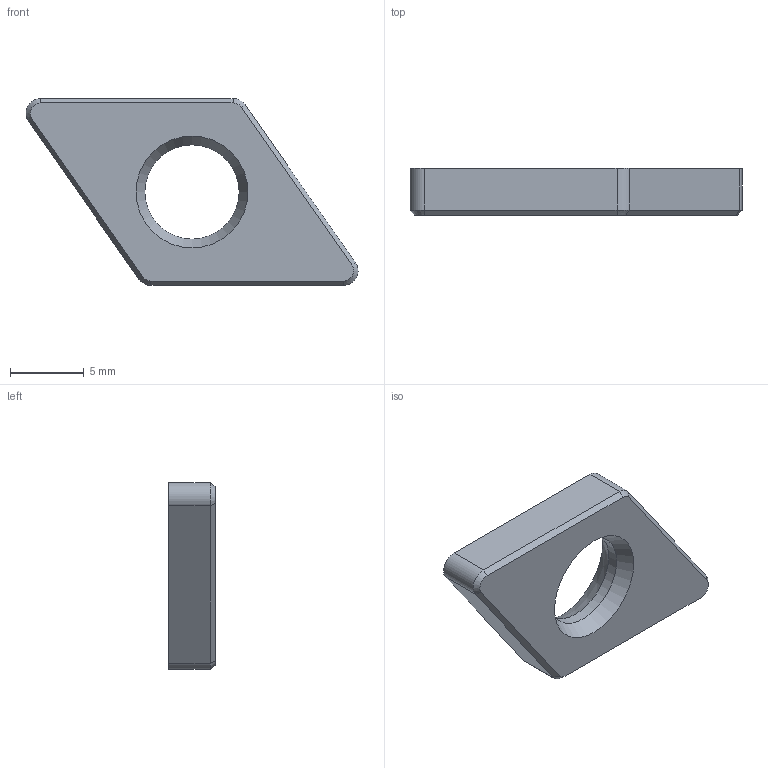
import cadquery as cq
import math

inscribed_diameter = 12.7
acute_angle = math.radians(55)
thickness = 3.18
corner_radius = 1.0

chamfer_inset = 0.3
chamfer_depth = 0.35

hole_diameter = 6.4
front_countersink_diameter = 7.6
back_countersink_diameter = 8.0
countersink_half_angle = math.radians(30)

front_y = -thickness / 2
back_y = thickness / 2


def rhombus_corners(height):
    """Corners of a rhombus centred on the origin, for a distance between opposite sides."""
    side = height / math.sin(acute_angle)
    lean = height / math.tan(acute_angle)
    left = -(side + lean) / 2
    return [
        (left, height / 2),
        (left + side, height / 2),
        (-left, -height / 2),
        (-left - side, -height / 2),
    ]


def make_plate():
    """Rhombic plate with rounded corners and a chamfered front edge."""
    plate = (
        cq.Workplane("XZ", origin=(0, back_y, 0))
        .polyline(rhombus_corners(inscribed_diameter))
        .close()
        .extrude(thickness)
        .edges("|Y")
        .fillet(corner_radius)
    )
    front_face = plate.faces("<Y").val()
    solid = plate.val()
    return cq.Workplane(solid.chamfer(chamfer_depth, chamfer_inset, front_face.Edges()))


def countersink_depth(mouth_diameter):
    """Depth at which a countersink narrows from its mouth to the bore."""
    return (mouth_diameter - hole_diameter) / 2 / math.tan(countersink_half_angle)


def make_hole():
    """Through bore that widens in a cone towards each face."""
    bore_radius = hole_diameter / 2
    return (
        cq.Workplane("XY")
        .moveTo(0, front_y)
        .lineTo(front_countersink_diameter / 2, front_y)
        .lineTo(bore_radius, front_y + countersink_depth(front_countersink_diameter))
        .lineTo(bore_radius, back_y - countersink_depth(back_countersink_diameter))
        .lineTo(back_countersink_diameter / 2, back_y)
        .lineTo(0, back_y)
        .close()
        .revolve(360, (0, 0, 0), (0, 1, 0))
    )


result = make_plate().cut(make_hole())